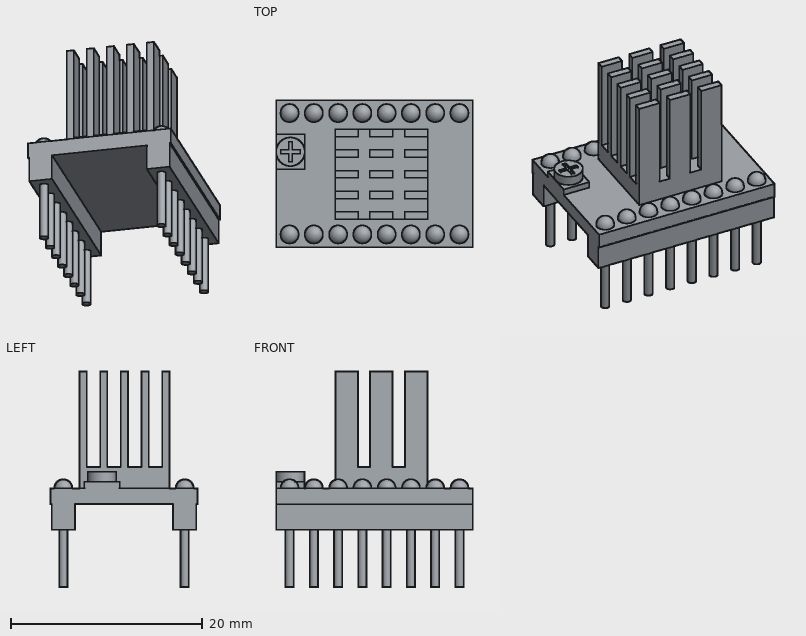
import cadquery as cq

board_length = 20.6
board_width = 15.43
board_thickness = 1.65

pin_count = 8
pin_pitch = 2.54
row_spacing = 5 * pin_pitch
pin_diameter = 0.9
pin_length = 6.0
strip_width = 2.46
strip_height = 2.7

dome_radius = 0.95

trimmer_length = 3.0
trimmer_width = 3.68
trimmer_base_height = 0.7
trimmer_y = 2.3
rotor_diameter = trimmer_length
rotor_height = 1.05
cross_length = 2.05
cross_width = 0.38
cross_depth = 0.2

total_height = 22.6
sink_length = 9.65
sink_width = 9.45
sink_x = 0.74
sink_y = -0.05
post_height = 10.0
post_length = 2.38
middle_post_shift = -0.04
fin_count = 5
fin_thickness = 0.78

strip_bottom = pin_length
board_bottom = strip_bottom + strip_height
board_top = board_bottom + board_thickness
groove_floor = total_height - post_height


def block(length, width, height, x, y, bottom):
    """Box centred on (x, y) and standing on the given level."""
    return cq.Workplane("XY").box(length, width, height, centered=(True, True, False)).translate((x, y, bottom))


def make_board():
    return block(board_length, board_width, board_thickness, 0, 0, board_bottom)


def make_header_row(y):
    """Plastic strip with its pins below and solder domes above the board."""
    row = block(board_length, strip_width, strip_height, 0, y, strip_bottom)
    first_x = -(pin_count - 1) * pin_pitch / 2
    positions = [(first_x + i * pin_pitch, y) for i in range(pin_count)]
    pins = cq.Workplane("XY").pushPoints(positions).circle(pin_diameter / 2).extrude(board_bottom)
    domes = cq.Workplane("XY", origin=(0, 0, board_top)).pushPoints(positions).sphere(dome_radius)
    return row.union(pins).union(domes)


def make_trimmer():
    """Trimmer flush with the -X edge of the board, slotted for a screwdriver."""
    x = (trimmer_length - board_length) / 2
    base_top = board_top + trimmer_base_height
    rotor_top = base_top + rotor_height
    slot_floor = rotor_top - cross_depth
    base = block(trimmer_length, trimmer_width, trimmer_base_height, x, trimmer_y, board_top)
    rotor = cq.Workplane("XY", origin=(x, trimmer_y, base_top)).circle(rotor_diameter / 2).extrude(rotor_height)
    slot_along_x = block(cross_length, cross_width, cross_depth, x, trimmer_y, slot_floor)
    slot_along_y = block(cross_width, cross_length, cross_depth, x, trimmer_y, slot_floor)
    return base.union(rotor).cut(slot_along_x).cut(slot_along_y)


def make_heatsink():
    """Base plate carrying a grid of rectangular posts."""
    sink = block(sink_length, sink_width, groove_floor - board_top, sink_x, sink_y, board_top)
    outer_post_offset = (sink_length - post_length) / 2
    fin_pitch = (sink_width - fin_thickness) / (fin_count - 1)
    first_fin_y = sink_y - (sink_width - fin_thickness) / 2
    for post_offset in (-outer_post_offset, middle_post_shift, outer_post_offset):
        for i in range(fin_count):
            post_x = sink_x + post_offset
            post_y = first_fin_y + i * fin_pitch
            sink = sink.union(block(post_length, fin_thickness, post_height, post_x, post_y, groove_floor))
    return sink


result = make_board()
for row_y in (-row_spacing / 2, row_spacing / 2):
    result = result.union(make_header_row(row_y))
result = result.union(make_trimmer()).union(make_heatsink())